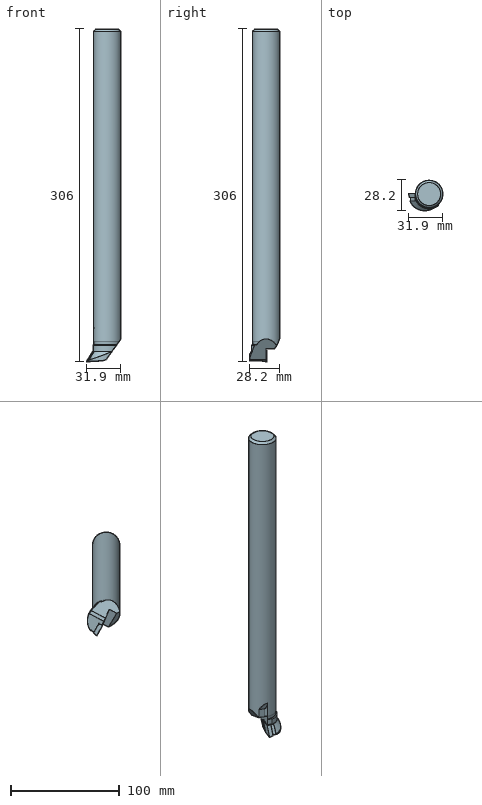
import cadquery as cq
import math


length = 306.0
shank_diameter = 25.5
shank_radius = shank_diameter / 2
top_chamfer = 2.0

collar_top = 19.0
neck_top = 15.3
flare_top = 9.8
neck_radius = 13.62
groove_radius = 12.4
groove_z = 16.0
flare_slope = 0.65
head_bottom = 1.0
flare_bottom_radius = neck_radius + flare_slope * (flare_top - head_bottom)

clearance_radius = 15.0
clearance_x = -4.0
clearance_y = -0.45

back_slope = 1.4
back_top = 21.0
heel_top = 2.0
heel_x = -4.0

gullet_top = 32.7
gullet_wall_top = 26.0
gullet_wall_bottom = 17.8
gullet_wall_x = -10.0
gullet_tip_x = 6.5
gullet_tip_z = 12.0
gullet_fillet = 1.8
bevel_slope = 1.6

inscribed_diameter = 9.5
insert_thickness = 4.0
insert_face_y = 0.5
nose_angle = 55.0
approach_angle = 3.0
relief_angle = 7.0
nose_radius = 0.3
outer_left = -19.13
edge_length = inscribed_diameter / math.sin(math.radians(nose_angle))

flank_depth = 6.5
flank_inset = 1.2
flank_corner = 2.5
facet_x = -13.0

margin = 0.3
oversize = 61.2


def box_between(low, high):
    """Box spanning two opposite corners."""
    size = [b - a for a, b in zip(low, high)]
    return cq.Workplane("XY").box(*size, centered=False).translate(low)


def polar(distance, angle):
    """Offset in X and Z for a distance along an angle in degrees."""
    return (distance * math.cos(math.radians(angle)), distance * math.sin(math.radians(angle)))


def make_insert():
    """Rhombic plate with relieved sides and rounded acute noses."""
    side_angle = approach_angle + nose_angle
    half_angle = math.radians(nose_angle / 2)
    centre_distance = nose_radius / math.sin(half_angle)
    centre_x, centre_z = polar(centre_distance, approach_angle + nose_angle / 2)
    corner = (outer_left + nose_radius - centre_x, nose_radius - centre_z)
    lower = polar(edge_length, approach_angle)
    upper = polar(edge_length, side_angle)
    outline = [
        corner,
        (corner[0] + lower[0], corner[1] + lower[1]),
        (corner[0] + lower[0] + upper[0], corner[1] + lower[1] + upper[1]),
        (corner[0] + upper[0], corner[1] + upper[1]),
    ]
    sharp = (
        cq.Workplane("XZ", origin=(0, insert_face_y, 0))
        .polyline(outline).close()
        .extrude(insert_thickness, taper=relief_angle)
    )
    noses = sharp.edges("not(#Y)").edges("<X or >X")
    return noses.fillet(nose_radius)


def make_gullet():
    """Cutter for the space in front of the head's flat face."""
    wall_run = gullet_wall_x + shank_radius
    entry_x = -shank_radius - wall_run
    entry_z = gullet_top + (gullet_top - gullet_wall_top)
    outline = [
        (entry_x, entry_z),
        (gullet_wall_x, gullet_wall_top),
        (gullet_wall_x, gullet_wall_bottom),
        (gullet_tip_x, gullet_tip_z),
        (oversize, gullet_tip_z),
        (oversize, -oversize),
        (-oversize, -oversize),
        (-oversize, entry_z),
    ]
    gullet = cq.Workplane("XZ").polyline(outline).close().extrude(-oversize)
    wall_edges = cq.selectors.BoxSelector(
        (entry_x, -margin, gullet_wall_bottom), (gullet_wall_x + margin, margin, entry_z)
    )
    return gullet.edges(wall_edges).edges("not(<X)").fillet(gullet_fillet)


def make_bevel():
    """Cutter for the bevel rising beside the sloping underside of the gullet."""
    edge_y = math.sqrt(shank_radius**2 - gullet_wall_x**2)
    underside = cq.Plane(
        origin=(gullet_wall_x, edge_y, gullet_wall_bottom),
        xDir=(0, 1, 0),
        normal=(gullet_tip_x - gullet_wall_x, 0, gullet_tip_z - gullet_wall_bottom),
    )
    width = shank_radius
    outline = [(0, 0), (width, bevel_slope * width), (width, 0)]
    return cq.Workplane(underside).polyline(outline).close().extrude(oversize, both=True)


def make_back_cut():
    """Cutter for everything behind the sloping back of the head."""
    outline = [
        (shank_radius, back_top),
        (shank_radius - (back_top - heel_top) / back_slope, heel_top),
        (heel_x, head_bottom),
        (heel_x, back_top - oversize),
        (oversize, back_top - oversize),
        (oversize, back_top + back_slope * (oversize - shank_radius)),
    ]
    return cq.Workplane("XZ").polyline(outline).close().extrude(oversize, both=True)


def make_flank_cut():
    """Cutter for the relief below the insert's left edge."""
    lean = 1 / math.tan(math.radians(approach_angle + nose_angle))
    bottom_x = outer_left + flank_inset
    outline = [
        (bottom_x, 0),
        (bottom_x + lean * flare_top, flare_top),
        (-oversize, flare_top),
        (-oversize, 0),
    ]
    flank = cq.Workplane("XZ").polyline(outline).close().extrude(flank_depth)
    return flank.faces("<Y").edges(">Z").fillet(flank_corner)


def make_bar(insert):
    """Shank and head in one piece, with a seat that matches the insert."""
    shank = (
        cq.Workplane("XY", origin=(0, 0, head_bottom))
        .circle(shank_radius).extrude(length - head_bottom)
        .faces(">Z").chamfer(top_chamfer)
    )
    head = (
        cq.Workplane("XZ")
        .moveTo(0, collar_top)
        .lineTo(shank_radius, collar_top)
        .lineTo(groove_radius, groove_z)
        .lineTo(neck_radius, neck_top)
        .lineTo(neck_radius, flare_top)
        .lineTo(flare_bottom_radius, head_bottom)
        .lineTo(0, head_bottom)
        .close().revolve()
    )
    clearance = (
        cq.Workplane("XY").center(clearance_x, clearance_y)
        .circle(clearance_radius).extrude(flare_top)
    )
    above_flare = box_between((-oversize, -oversize, flare_top), (oversize, oversize, oversize))
    head = head.intersect(clearance.union(above_flare))
    head = head.cut(box_between((-oversize, 0, 0), (oversize, oversize, oversize)))
    head_space = box_between((-oversize, -oversize, 0), (oversize, 0, collar_top))
    bar = shank.cut(head_space).union(head)
    bar = bar.cut(make_gullet()).cut(make_bevel()).cut(make_back_cut()).cut(make_flank_cut())
    bar = bar.cut(box_between((-oversize, -oversize, flare_top), (facet_x, 0, collar_top)))
    return bar.cut(insert)


insert = make_insert()
bar = make_bar(insert)
result = cq.Compound.makeCompound([bar.solids().val(), insert.solids().val()])